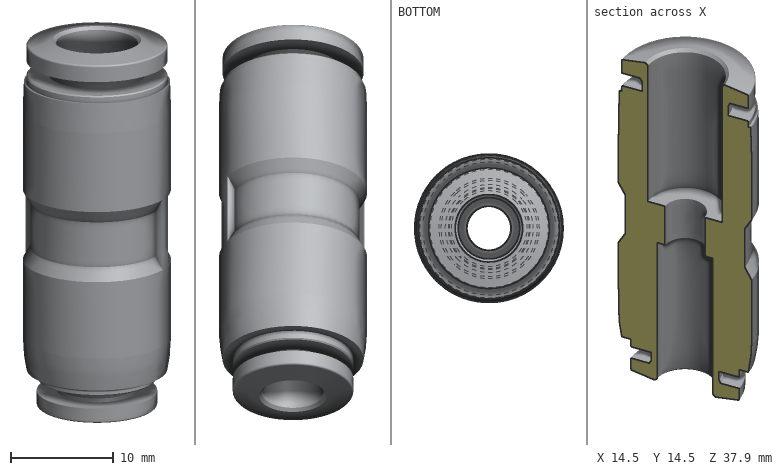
import cadquery as cq
import math

body_diameter = 14.5
overall_height = 37.9
top_z = overall_height / 2
bottom_z = -overall_height / 2

upper_flange_diameter = 13.8
upper_neck_diameter = 9.4
upper_bore_diameter = 8.0
lower_flange_diameter = 11.8
lower_neck_diameter = 7.4
lower_bore_diameter = 6.0
upper_flange_height = 2.1
lower_flange_height = 1.9
crown_height = 0.4
flange_edge_radius = 0.2
neck_root_flare = 0.2
neck_root_height = 0.33
bore_entry_chamfer = 0.3

upper_collar_length = 3.55
lower_collar_length = 3.2
upper_body_end_z = top_z - upper_collar_length
lower_body_end_z = bottom_z + lower_collar_length
upper_land_height = 0.7
lower_land_height = 0.9
land_edge_chamfer = 0.12
upper_shoulder_diameter = 14.3
upper_shoulder_height = 3.0
lower_shoulder_diameter = 13.78
lower_shoulder_height = 3.4

groove_width = 7.2
groove_root_diameter = 13.0
groove_flank_angle = 30.0
rib_width = 1.5

passage_diameter = 4.3
tube_stop_spacing = 4.7

clearance = 1.0


def release_collar(end_z, body_end_z, flange_height, flange_diameter, neck_diameter, bore_diameter):
    """Flanged collar from its crown at end_z to body_end_z, as a solid of revolution."""
    inward = -math.copysign(1, end_z)
    flange_radius = flange_diameter / 2
    neck_radius = neck_diameter / 2
    entry_radius = bore_diameter / 2 + bore_entry_chamfer
    crown_edge_z = end_z + inward * crown_height
    underside_z = end_z + inward * flange_height
    edge_bulge = flange_edge_radius * (1 - math.sqrt(0.5))
    profile = (
        cq.Workplane("XZ")
        .moveTo(0, end_z)
        .lineTo(entry_radius, end_z)
        .lineTo(flange_radius - flange_edge_radius, crown_edge_z)
        .threePointArc(
            (flange_radius - edge_bulge, crown_edge_z + inward * edge_bulge),
            (flange_radius, crown_edge_z + inward * flange_edge_radius),
        )
        .lineTo(flange_radius, underside_z)
        .lineTo(neck_radius + neck_root_flare, underside_z)
        .lineTo(neck_radius, underside_z + inward * neck_root_height)
        .lineTo(neck_radius, body_end_z)
        .lineTo(0, body_end_z)
        .close()
    )
    return profile.revolve(360, (0, 0, 0), (0, 1, 0))


def shoulder_mid_drop(shoulder_diameter, shoulder_height):
    """Radial drop, halfway along, of a shoulder that curves tangentially off the barrel."""
    full_drop = (body_diameter - shoulder_diameter) / 2
    arc_radius = (shoulder_height**2 + full_drop**2) / (2 * full_drop)
    return arc_radius - math.sqrt(arc_radius**2 - (shoulder_height / 2) ** 2)


def body():
    """Solid body from the lower land up to the upper land."""
    barrel_radius = body_diameter / 2
    lower_land_radius = lower_flange_diameter / 2
    upper_land_radius = upper_flange_diameter / 2
    lower_land_z = lower_body_end_z + lower_land_height
    upper_land_z = upper_body_end_z - upper_land_height
    lower_mid_drop = shoulder_mid_drop(lower_shoulder_diameter, lower_shoulder_height)
    upper_mid_drop = shoulder_mid_drop(upper_shoulder_diameter, upper_shoulder_height)
    profile = (
        cq.Workplane("XZ")
        .moveTo(0, lower_body_end_z)
        .lineTo(lower_land_radius - land_edge_chamfer, lower_body_end_z)
        .lineTo(lower_land_radius, lower_body_end_z + land_edge_chamfer)
        .lineTo(lower_land_radius, lower_land_z)
        .lineTo(lower_shoulder_diameter / 2, lower_land_z)
        .threePointArc(
            (barrel_radius - lower_mid_drop, lower_land_z + lower_shoulder_height / 2),
            (barrel_radius, lower_land_z + lower_shoulder_height),
        )
        .lineTo(barrel_radius, upper_land_z - upper_shoulder_height)
        .threePointArc(
            (barrel_radius - upper_mid_drop, upper_land_z - upper_shoulder_height / 2),
            (upper_shoulder_diameter / 2, upper_land_z),
        )
        .lineTo(upper_land_radius, upper_land_z)
        .lineTo(upper_land_radius, upper_body_end_z - land_edge_chamfer)
        .lineTo(upper_land_radius - land_edge_chamfer, upper_body_end_z)
        .lineTo(0, upper_body_end_z)
        .close()
    )
    return profile.revolve(360, (0, 0, 0), (0, 1, 0))


def grip_groove():
    """Ring with sloping flanks, split into two arcs by the ribs left on the X axis."""
    root_radius = groove_root_diameter / 2
    outer_radius = body_diameter / 2 + clearance
    half_width = groove_width / 2
    flank_slope = 1 / math.tan(math.radians(groove_flank_angle))
    root_half_width = half_width - (body_diameter / 2 - root_radius) * flank_slope
    outer_half_width = half_width + clearance * flank_slope
    ring = (
        cq.Workplane("XZ")
        .moveTo(root_radius, -root_half_width)
        .lineTo(outer_radius, -outer_half_width)
        .lineTo(outer_radius, outer_half_width)
        .lineTo(root_radius, root_half_width)
        .close()
        .revolve(360, (0, 0, 0), (0, 1, 0))
    )
    ribs = cq.Workplane("XY").box(2 * outer_radius, rib_width, 2 * outer_half_width)
    return ring.cut(ribs)


def tube_socket(end_z, bore_diameter):
    """Blind bore from end_z to its tube stop, with a chamfered entry."""
    inward = -math.copysign(1, end_z)
    bore_radius = bore_diameter / 2
    stop_z = -inward * tube_stop_spacing / 2
    profile = (
        cq.Workplane("XZ")
        .moveTo(0, end_z)
        .lineTo(bore_radius + bore_entry_chamfer, end_z)
        .lineTo(bore_radius, end_z + inward * bore_entry_chamfer)
        .lineTo(bore_radius, stop_z)
        .lineTo(0, stop_z)
        .close()
    )
    return profile.revolve(360, (0, 0, 0), (0, 1, 0))


upper_collar = release_collar(
    top_z,
    upper_body_end_z,
    upper_flange_height,
    upper_flange_diameter,
    upper_neck_diameter,
    upper_bore_diameter,
)
lower_collar = release_collar(
    bottom_z,
    lower_body_end_z,
    lower_flange_height,
    lower_flange_diameter,
    lower_neck_diameter,
    lower_bore_diameter,
)
passage = cq.Workplane("XY").circle(passage_diameter / 2).extrude(overall_height / 2, both=True)

result = (
    body()
    .union(upper_collar)
    .union(lower_collar)
    .cut(grip_groove())
    .cut(tube_socket(top_z, upper_bore_diameter))
    .cut(tube_socket(bottom_z, lower_bore_diameter))
    .cut(passage)
    .clean()
)